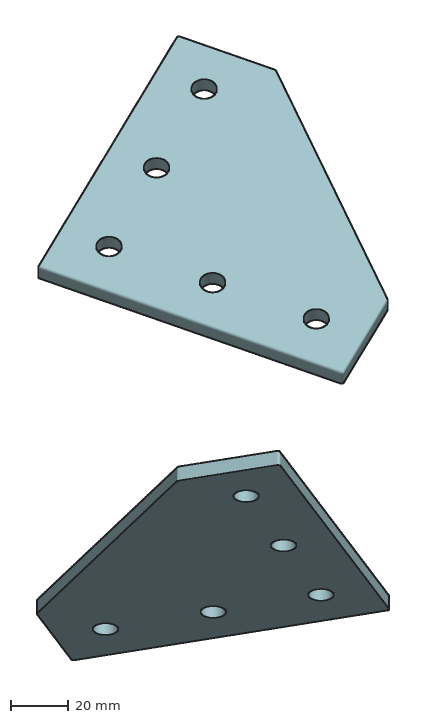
import cadquery as cq

side = 118.0
thickness = 6.0
arm_width = 38.0
edge_radius = 1.0

hole_diameter = 9.0
hole_spacing = 40.0
holes_per_arm = 3
hole_inset = arm_width / 2

outline = [
    (0, 0),
    (side, 0),
    (side, arm_width),
    (arm_width, side),
    (0, side),
]
plate = cq.Workplane("XY").polyline(outline).close().extrude(thickness)

plate = plate.edges("|Z or >Z").fillet(edge_radius)

row = [hole_inset + i * hole_spacing for i in range(holes_per_arm)]
hole_centers = [(x, hole_inset) for x in row] + [(hole_inset, y) for y in row[1:]]
holes = cq.Workplane("XY").pushPoints(hole_centers).circle(hole_diameter / 2).extrude(thickness)

result = plate.cut(holes)